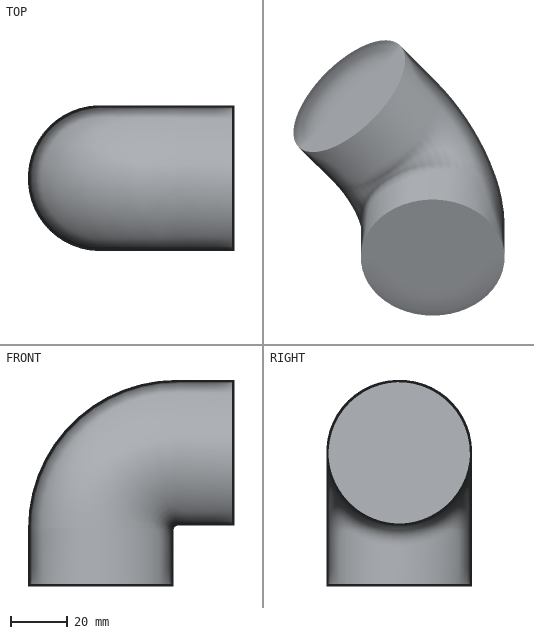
import cadquery as cq

overall_size = 72.5
pipe_diameter = 51.0
socket_length = 20.0

pipe_radius = pipe_diameter / 2
bend_radius = overall_size - socket_length - pipe_radius


def straight_socket(plane):
    """Cylinder that starts on the given plane and runs along its normal."""
    return cq.Workplane(plane).circle(pipe_radius).extrude(socket_length)


def quarter_bend():
    """Quarter torus from the top of the lower socket round to +X."""
    return (
        cq.Workplane("XY", origin=(0, 0, socket_length))
        .circle(pipe_radius)
        .revolve(90, (bend_radius, 0, 0), (bend_radius, 1, 0))
    )


lower_socket = straight_socket(cq.Plane.XY())

bend_end = (bend_radius, 0, socket_length + bend_radius)
side_socket = straight_socket(cq.Plane(origin=bend_end, xDir=(0, 1, 0), normal=(1, 0, 0)))

result = lower_socket.union(quarter_bend()).union(side_socket)